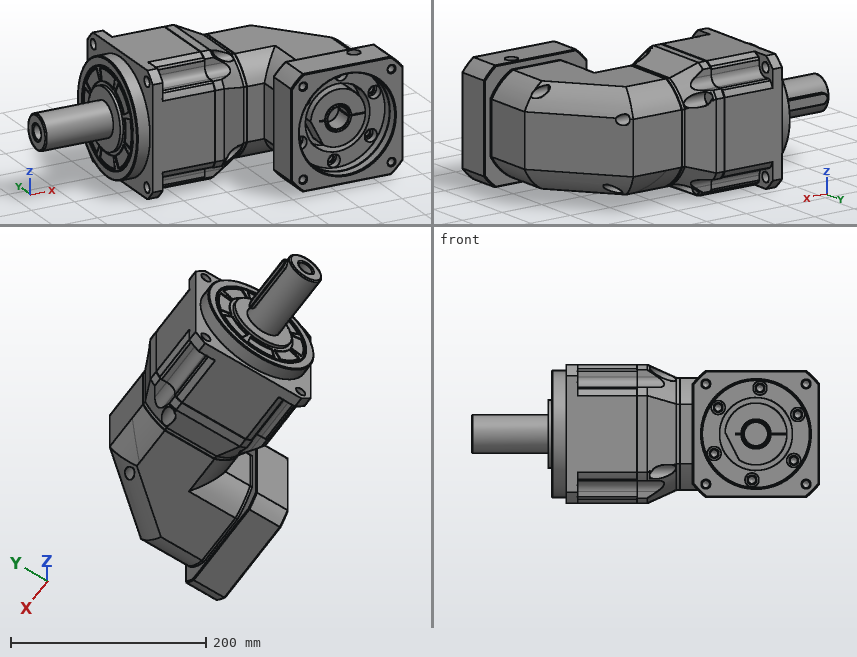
import cadquery as cq
import math


OVERALL_LENGTH = 356.0
OVERALL_WIDTH = 201.0
OVERALL_HEIGHT = 142.0
CORNER_COUNT = 4

SHAFT_RADIUS = 20.0
SHAFT_CHAMFER = 1.5
SHOULDER_RADIUS = 35.0
SHOULDER_START = 78.3
CENTRE_MOUTH_RADIUS = 10.0
CENTRE_RECESS_RADIUS = 8.2
CENTRE_MOUTH_DEPTH = 1.0
CENTRE_RECESS_DEPTH = 10.7
CENTRE_CONE_END = 12.5
CENTRE_BORE_RADIUS = 6.8
CENTRE_BORE_DEPTH = 28.5
DRILL_HALF_ANGLE = math.radians(59)

KEY_START = 4.3
KEY_LENGTH = 66.5
KEY_WIDTH = 12.0
KEY_BOTTOM = 14.5
KEY_TOP = 22.8
KEY_CHAMFER = 0.7

PILOT_RADIUS = 65.0
PILOT_START = 82.0
PILOT_CHAMFER = 1.0
FLANGE_START = 97.0
FLANGE_END = 108.5
FLANGE_HALF = OVERALL_HEIGHT / 2
FLANGE_CORNER_RADIUS = 92.5
BODY_CORNER_RADIUS = 81.0
HOUSING_END = 169.5
SEAM_CHAMFER = 0.55
FLANGE_HOLE_RADIUS = 5.7
FLANGE_HOLE_OFFSET = 58.5
NOTCH_FILLET = 10.7
NOTCH_WALL = FLANGE_HOLE_OFFSET - NOTCH_FILLET
NOTCH_LIP_START = 64.0
NOTCH_LIP_RISE = 3.0
NOTCH_LIP_LENGTH = 5.0
NOTCH_REACH = 106.8

SHOULDER_SEAT_DEPTH = 7.0
FACE_GROOVE_RADIUS = 55.5
FACE_GROOVE_WIDTH = 1.0
FACE_GROOVE_DEPTH = 1.0
POCKET_COUNT = 8
POCKET_INNER_RADIUS = 38.8
POCKET_OUTER_RADIUS = 52.5
POCKET_INNER_HALF_WIDTH = 13.0
POCKET_OUTER_HALF_WIDTH = 16.5
POCKET_DEPTH = 1.0

TUBE_HALF = 115.0 / 2
TUBE_CORNER_RADIUS = 65.0
TUBE_FLAT = math.sqrt(TUBE_CORNER_RADIUS**2 - TUBE_HALF**2)

TAPER_START = 179.8
TAPER_END = 209.7
ADAPTER_END = 213.5
BOLT_CIRCLE_RADIUS = 72.5
BOLT_ANGLE = 32.2
BOLT_ACROSS = BOLT_CIRCLE_RADIUS * math.cos(math.radians(BOLT_ANGLE))
BOLT_ALONG = BOLT_CIRCLE_RADIUS * math.sin(math.radians(BOLT_ANGLE))
BOLT_CLEARANCE_RADIUS = 14.5 / 2
SCOOP_START = 182.3

PLATE_HALF = 130.0 / 2
PLATE_CORNER_RADIUS = 82.5
INPUT_X = OVERALL_LENGTH - PLATE_HALF
PLATE_FACE_Y = FLANGE_HALF - OVERALL_WIDTH
PLATE_BACK_Y = -90.5
NECK_END_Y = -88.0
PLATE_CHAMFER = 1.0
RECESS_RADIUS = 55.5
RECESS_STEP_DEPTH = 11.5
RECESS_FLOOR_RADIUS = 55.0
RECESS_DEPTH = 21.5
COLLAR_HOLE_RADIUS = 37.5
CORNER_HOLE_OFFSET = 51.3
TAPPED_RADIUS = 4.0
TAPPED_CHAMFER = 0.9
CORNER_HOLE_DEPTH = 17.8
PLATE_BOLT_COUNT = 6
PLATE_BOLT_CIRCLE_RADIUS = 94.5 / 2
PLATE_BOLT_FIRST_ANGLE = 25.0
COUNTERBORE_RADIUS = 7.0
COUNTERBORE_DEPTH = 9.0
PLATE_BOLT_HOLE_DEPTH = 6.0
ACCESS_HOLE_RADIUS = 14.0 / 2
CLAMP_X = INPUT_X + 22.8
CLAMP_Y = -101.5

COLLAR_RADIUS = 31.7
COLLAR_PROUD = 1.0
COLLAR_FACE_Y = PLATE_FACE_Y + RECESS_DEPTH - COLLAR_PROUD
BUSHING_RADIUS = 14.0
BUSHING_BORE_RADIUS = 12.0
BUSHING_CHAMFER = 1.5
COLLAR_FLAT_DISTANCE = 27.5
COLLAR_FLAT_ANGLE = 207.0
SLIT_WIDTH = 1.0
SLIT_BLIND_LENGTH = 20.5
CLAMP_HOLE_RADIUS = 5.0

BEVEL_START = (275.0, TUBE_HALF)
BEVEL_END = (INPUT_X + TUBE_HALF, -30.5)
BEVEL_INSET = 25.0
BEVEL_BOLT_RADIUS = 5.7
BEVEL_BOLT_CIRCLE_RADIUS = 57.0
BEVEL_BOLT_FIRST_ANGLE = -59.2
BEVEL_BOLT_COUNT = 3
BEVEL_BOLT_DEPTH = 32.0
ELBOW_REACH = 213.5


def x_cylinder(radius, start, end, y=0.0, z=0.0):
    """Round bar along X from start to end."""
    return cq.Workplane("YZ", origin=(start, y, z)).circle(radius).extrude(end - start)


def y_cylinder(radius, start, end, x=INPUT_X, z=0.0):
    """Round bar along +Y from start to end."""
    plane = cq.Plane(origin=(x, start, z), xDir=(1, 0, 0), normal=(0, 1, 0))
    return cq.Workplane(plane).circle(radius).extrude(end - start)


def x_rounded_square(half, corner_radius, start, end):
    """Square bar along X whose corners are turned to corner_radius."""
    square = cq.Workplane("YZ", origin=(start, 0, 0)).rect(2 * half, 2 * half).extrude(end - start)
    return square.intersect(x_cylinder(corner_radius, start, end))


def y_rounded_square(half, corner_radius, start, end):
    """Square bar along Y on the input axis, with corners turned to corner_radius."""
    square = cq.Workplane("XY").box(2 * half, end - start, 2 * half)
    square = square.translate((INPUT_X, (start + end) / 2, 0))
    return square.intersect(y_cylinder(corner_radius, start, end))


def about_x(shape, turns):
    """Copy of shape turned about the shaft axis by quarter turns."""
    return shape.rotate((0, 0, 0), (1, 0, 0), 360 * turns / CORNER_COUNT)


def drilled_hole(face_y, depth, x, z):
    """Blind hole cutter going +Y from face_y: mouth chamfer, bore and drill-point cone."""
    mouth = TAPPED_RADIUS + TAPPED_CHAMFER
    tip = depth + TAPPED_RADIUS / math.tan(DRILL_HALF_ANGLE)
    profile = [(0, 0), (mouth, 0), (TAPPED_RADIUS, TAPPED_CHAMFER), (TAPPED_RADIUS, depth), (0, tip)]
    cutter = cq.Workplane("XY").polyline(profile).close().revolve(360, (0, 0, 0), (0, 1, 0))
    return cutter.translate((x, face_y, z))


def make_key():
    plane = cq.Plane(origin=(KEY_START + KEY_LENGTH / 2, KEY_BOTTOM, 0), xDir=(1, 0, 0), normal=(0, 1, 0))
    key = cq.Workplane(plane).slot2D(KEY_LENGTH, KEY_WIDTH).extrude(KEY_TOP - KEY_BOTTOM)
    return key.faces(">Y").chamfer(KEY_CHAMFER)


def make_shaft(key):
    shaft = x_cylinder(SHAFT_RADIUS, 0, PILOT_START).faces("<X").chamfer(SHAFT_CHAMFER)
    shoulder = x_cylinder(SHOULDER_RADIUS, SHOULDER_START, PILOT_START + SHOULDER_SEAT_DEPTH)
    tip = CENTRE_BORE_DEPTH + CENTRE_BORE_RADIUS / math.tan(DRILL_HALF_ANGLE)
    centre_profile = [
        (0, 0),
        (0, CENTRE_MOUTH_RADIUS),
        (CENTRE_MOUTH_DEPTH, CENTRE_RECESS_RADIUS),
        (CENTRE_RECESS_DEPTH, CENTRE_RECESS_RADIUS),
        (CENTRE_CONE_END, CENTRE_BORE_RADIUS),
        (CENTRE_BORE_DEPTH, CENTRE_BORE_RADIUS),
        (tip, 0),
    ]
    centre_hole = cq.Workplane("XY").polyline(centre_profile).close().revolve(360, (0, 0, 0), (1, 0, 0))
    return shaft.union(shoulder).cut(centre_hole).cut(key)


def notch_cutter(start, end, lip_rise):
    """Square corner notch along X with a filleted root; lip_rise bevels its outer edges."""
    lip_wall = NOTCH_WALL - lip_rise
    lip_end = NOTCH_LIP_START + NOTCH_LIP_LENGTH
    root_end = NOTCH_WALL + NOTCH_FILLET
    root_middle = root_end - NOTCH_FILLET * math.sqrt(0.5)
    return (
        cq.Workplane("YZ", origin=(start, 0, 0))
        .moveTo(NOTCH_WALL, root_end)
        .threePointArc((root_middle, root_middle), (root_end, NOTCH_WALL))
        .lineTo(NOTCH_LIP_START, NOTCH_WALL)
        .lineTo(lip_end, lip_wall)
        .lineTo(NOTCH_REACH, lip_wall)
        .lineTo(NOTCH_REACH, NOTCH_REACH)
        .lineTo(lip_wall, NOTCH_REACH)
        .lineTo(lip_wall, lip_end)
        .lineTo(NOTCH_WALL, NOTCH_LIP_START)
        .close()
        .extrude(end - start)
    )


def face_pocket():
    """Cutter for one shallow sector pocket of the housing face."""
    outer_side = math.sqrt(POCKET_OUTER_RADIUS**2 - POCKET_OUTER_HALF_WIDTH**2)
    inner_side = math.sqrt(POCKET_INNER_RADIUS**2 - POCKET_INNER_HALF_WIDTH**2)
    return (
        cq.Workplane("YZ", origin=(PILOT_START, 0, 0))
        .moveTo(-POCKET_OUTER_HALF_WIDTH, outer_side)
        .threePointArc((0, POCKET_OUTER_RADIUS), (POCKET_OUTER_HALF_WIDTH, outer_side))
        .lineTo(POCKET_INNER_HALF_WIDTH, inner_side)
        .threePointArc((0, POCKET_INNER_RADIUS), (-POCKET_INNER_HALF_WIDTH, inner_side))
        .close()
        .extrude(POCKET_DEPTH)
    )


def make_housing():
    pilot = x_cylinder(PILOT_RADIUS, PILOT_START, FLANGE_START).faces("<X").chamfer(PILOT_CHAMFER)
    flange = x_rounded_square(FLANGE_HALF, FLANGE_CORNER_RADIUS, FLANGE_START, FLANGE_END)
    body = x_rounded_square(FLANGE_HALF, BODY_CORNER_RADIUS, FLANGE_END, HOUSING_END)
    body = body.faces(">X").chamfer(SEAM_CHAMFER)
    notch = notch_cutter(FLANGE_END, HOUSING_END, NOTCH_LIP_RISE)
    for i in range(CORNER_COUNT):
        body = body.cut(about_x(notch, i))
    housing = pilot.union(flange).union(body)
    hole = x_cylinder(FLANGE_HOLE_RADIUS, FLANGE_START, FLANGE_END, FLANGE_HOLE_OFFSET, FLANGE_HOLE_OFFSET)
    for i in range(CORNER_COUNT):
        housing = housing.cut(about_x(hole, i))
    housing = housing.cut(x_cylinder(SHOULDER_RADIUS, PILOT_START, PILOT_START + SHOULDER_SEAT_DEPTH))

    groove = x_cylinder(FACE_GROOVE_RADIUS, PILOT_START, PILOT_START + FACE_GROOVE_DEPTH)
    groove_core_radius = FACE_GROOVE_RADIUS - FACE_GROOVE_WIDTH
    groove = groove.cut(x_cylinder(groove_core_radius, PILOT_START, PILOT_START + FACE_GROOVE_DEPTH))
    housing = housing.cut(groove)
    pocket = face_pocket()
    for i in range(POCKET_COUNT):
        housing = housing.cut(pocket.rotate((0, 0, 0), (1, 0, 0), 360 * i / POCKET_COUNT))
    return housing


def make_adapter():
    rim = x_rounded_square(FLANGE_HALF, BODY_CORNER_RADIUS, HOUSING_END, TAPER_START)
    taper_length = TAPER_END - TAPER_START
    pyramid = (
        cq.Workplane("YZ", origin=(TAPER_START, 0, 0))
        .rect(2 * FLANGE_HALF, 2 * FLANGE_HALF)
        .workplane(offset=taper_length)
        .rect(2 * TUBE_HALF, 2 * TUBE_HALF)
        .loft(ruled=True)
    )
    cone = cq.Workplane("XY").add(
        cq.Solid.makeCone(
            BODY_CORNER_RADIUS,
            TUBE_CORNER_RADIUS,
            taper_length,
            pnt=cq.Vector(TAPER_START, 0, 0),
            dir=cq.Vector(1, 0, 0),
        )
    )
    neck = x_rounded_square(TUBE_HALF, TUBE_CORNER_RADIUS, TAPER_END, ADAPTER_END)
    neck = neck.faces(">X").chamfer(SEAM_CHAMFER)
    adapter = rim.union(pyramid.intersect(cone)).union(neck)
    notch = notch_cutter(HOUSING_END, TAPER_END, 0.0)
    scoop = x_cylinder(BOLT_CLEARANCE_RADIUS, SCOOP_START, TAPER_END, BOLT_ACROSS, BOLT_ALONG)
    for i in range(CORNER_COUNT):
        adapter = adapter.cut(about_x(notch, i)).cut(about_x(scoop, i))
    return adapter


def outer_bar(origin, outward, direction, inset):
    """Long bar centred on origin, rounded only on the two edges of its outward side.

    Across inset the side falls from the full height to the flat of the tube section.
    """
    plane = cq.Plane(origin=origin, xDir=outward, normal=direction)
    middle = TUBE_CORNER_RADIUS * math.sqrt(0.5)
    middle_inset = inset * (TUBE_HALF - middle) / (TUBE_HALF - TUBE_FLAT)
    return (
        cq.Workplane(plane)
        .moveTo(-ELBOW_REACH, -TUBE_HALF)
        .lineTo(-inset, -TUBE_HALF)
        .threePointArc((-middle_inset, -middle), (0, -TUBE_FLAT))
        .lineTo(0, TUBE_FLAT)
        .threePointArc((-middle_inset, middle), (-inset, TUBE_HALF))
        .lineTo(-ELBOW_REACH, TUBE_HALF)
        .close()
        .extrude(ELBOW_REACH, both=True)
    )


def make_elbow():
    outer_x = INPUT_X + TUBE_HALF
    output_tube = x_rounded_square(TUBE_HALF, TUBE_CORNER_RADIUS, ADAPTER_END, INPUT_X)
    input_tube = y_rounded_square(TUBE_HALF, TUBE_CORNER_RADIUS, NECK_END_Y, TUBE_HALF)
    elbow = output_tube.union(input_tube)

    side_inset = TUBE_HALF - TUBE_FLAT
    elbow = elbow.intersect(outer_bar((INPUT_X, TUBE_HALF, 0), (0, 1, 0), (1, 0, 0), side_inset))
    elbow = elbow.intersect(outer_bar((outer_x, 0, 0), (1, 0, 0), (0, 1, 0), side_inset))
    run = BEVEL_END[0] - BEVEL_START[0]
    drop = BEVEL_START[1] - BEVEL_END[1]
    bevel = outer_bar((*BEVEL_START, 0), (drop, run, 0), (run, -drop, 0), BEVEL_INSET)
    elbow = elbow.intersect(bevel)

    for i in range(BEVEL_BOLT_COUNT):
        angle = math.radians(BEVEL_BOLT_FIRST_ANGLE + 360 * i / CORNER_COUNT)
        y = BEVEL_BOLT_CIRCLE_RADIUS * math.cos(angle)
        z = BEVEL_BOLT_CIRCLE_RADIUS * math.sin(angle)
        bevel_x = BEVEL_START[0] + (BEVEL_START[1] - y) * run / drop
        elbow = elbow.cut(x_cylinder(BEVEL_BOLT_RADIUS, bevel_x - BEVEL_BOLT_DEPTH, outer_x, y, z))
    return elbow


def make_plate():
    plate = y_rounded_square(PLATE_HALF, PLATE_CORNER_RADIUS, PLATE_FACE_Y, PLATE_BACK_Y)
    plate = plate.faces("<Y or >Y").chamfer(PLATE_CHAMFER)
    plate = plate.union(y_rounded_square(TUBE_HALF, TUBE_CORNER_RADIUS, PLATE_BACK_Y, NECK_END_Y))

    floor_y = PLATE_FACE_Y + RECESS_DEPTH
    plate = plate.cut(y_cylinder(RECESS_RADIUS, PLATE_FACE_Y, PLATE_FACE_Y + RECESS_STEP_DEPTH))
    plate = plate.faces("<Y").edges(cq.selectors.RadiusNthSelector(0)).chamfer(PLATE_CHAMFER)
    plate = plate.cut(y_cylinder(RECESS_FLOOR_RADIUS, PLATE_FACE_Y, floor_y))
    plate = plate.cut(y_cylinder(COLLAR_HOLE_RADIUS, floor_y, NECK_END_Y))

    for x_side in (-1, 1):
        for z_side in (-1, 1):
            x = INPUT_X + x_side * CORNER_HOLE_OFFSET
            z = z_side * CORNER_HOLE_OFFSET
            plate = plate.cut(drilled_hole(PLATE_FACE_Y, CORNER_HOLE_DEPTH, x, z))

    counterbore_y = floor_y + COUNTERBORE_DEPTH
    for i in range(PLATE_BOLT_COUNT):
        angle = math.radians(PLATE_BOLT_FIRST_ANGLE + 360 * i / PLATE_BOLT_COUNT)
        x = INPUT_X + PLATE_BOLT_CIRCLE_RADIUS * math.cos(angle)
        z = PLATE_BOLT_CIRCLE_RADIUS * math.sin(angle)
        plate = plate.cut(y_cylinder(COUNTERBORE_RADIUS, floor_y, counterbore_y, x, z))
        plate = plate.cut(drilled_hole(counterbore_y, PLATE_BOLT_HOLE_DEPTH, x, z))

    access = cq.Workplane("XY", origin=(CLAMP_X, CLAMP_Y, 0)).circle(ACCESS_HOLE_RADIUS).extrude(PLATE_HALF)
    return plate.cut(access)


def slit_cutter(start_x):
    """Thin slot along Y through the collar, from start_x out past the +X rim."""
    length = NECK_END_Y - COLLAR_FACE_Y
    slit_length = INPUT_X + COLLAR_RADIUS - start_x
    slit = cq.Workplane("XY").box(slit_length, length, SLIT_WIDTH)
    return slit.translate((start_x + slit_length / 2, COLLAR_FACE_Y + length / 2, 0))


def make_collar():
    length = NECK_END_Y - COLLAR_FACE_Y
    middle_y = COLLAR_FACE_Y + length / 2
    collar = y_cylinder(COLLAR_RADIUS, COLLAR_FACE_Y, NECK_END_Y)
    collar = collar.cut(y_cylinder(BUSHING_RADIUS, COLLAR_FACE_Y, NECK_END_Y))
    collar = collar.faces("<Y").edges(cq.selectors.RadiusNthSelector(0)).chamfer(BUSHING_CHAMFER)

    flat_waste = cq.Workplane("XY").box(COLLAR_RADIUS, length, 2 * COLLAR_RADIUS)
    flat_waste = flat_waste.translate((COLLAR_FLAT_DISTANCE + COLLAR_RADIUS / 2, 0, 0))
    flat_waste = flat_waste.rotate((0, 0, 0), (0, 1, 0), -COLLAR_FLAT_ANGLE)
    collar = collar.cut(flat_waste.translate((INPUT_X, middle_y, 0)))

    clamp_hole = (
        cq.Workplane("XY", origin=(CLAMP_X, CLAMP_Y, 0))
        .circle(CLAMP_HOLE_RADIUS)
        .extrude(COLLAR_RADIUS, both=True)
    )
    return collar.cut(slit_cutter(INPUT_X - SLIT_BLIND_LENGTH)).cut(clamp_hole)


def make_bushing():
    bushing = y_cylinder(BUSHING_RADIUS, COLLAR_FACE_Y, NECK_END_Y).faces("<Y").chamfer(BUSHING_CHAMFER)
    bushing = bushing.cut(y_cylinder(BUSHING_BORE_RADIUS, COLLAR_FACE_Y, NECK_END_Y))
    gap_start = INPUT_X + BUSHING_BORE_RADIUS / 2
    return bushing.cut(slit_cutter(gap_start))


key = make_key()
shaft = make_shaft(key)
housing = make_housing()
adapter = make_adapter()
elbow = make_elbow()
plate = make_plate()
collar = make_collar()
bushing = make_bushing()

bodies = [key, shaft, housing, adapter, elbow, plate, collar, bushing]
result = cq.Compound.makeCompound([body.solids().val() for body in bodies])